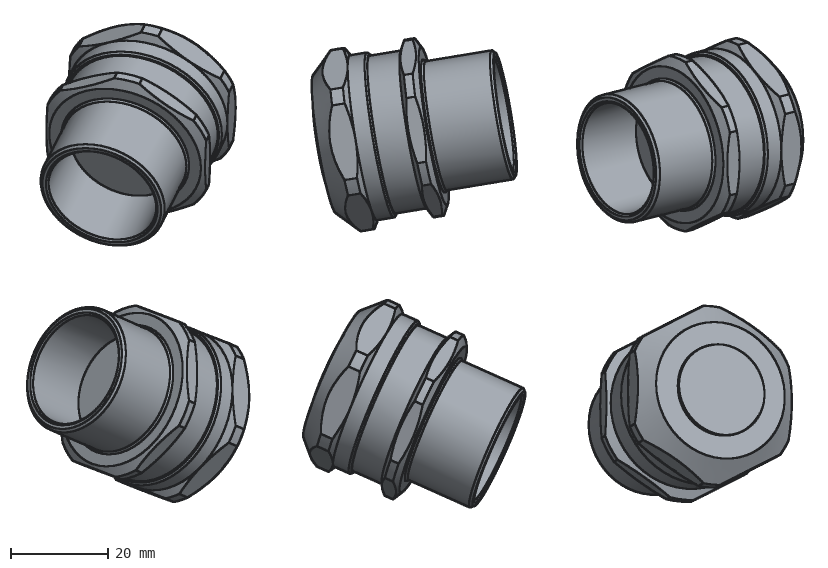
import cadquery as cq
import math


length = 38.5
spigot_end = 14.95
fixed_hex_end = 19.0
body_end = 25.68
ring_end = 29.7
cap_end = 37.8

bore_diameter = 23.4
spigot_diameter = 27.0
body_diameter = 33.0
ring_diameter = 34.5
cap_diameter = 28.88
seal_diameter = 19.17

across_flats = 34.55
fixed_hex_corner_radius = 18.55
cap_hex_corner_radius = 18.95
hex_bevel_length = 1.1
cap_bevel_length = 1.0

spigot_chamfer = 0.58
bore_chamfer = 0.42
collar_height = 0.42
collar_length = 0.5
ring_chamfer = 0.45
bore_depth = 14.63


def revolve_profile(points):
    """Revolve (radius, Y) points, closed along the axis, about Y."""
    start, end = points[0][1], points[-1][1]
    closed = [(0, start)] + points + [(0, end)]
    return cq.Workplane("XY").polyline(closed).close().revolve(360, (0, 0, 0), (0, 1, 0))


def cylinder(diameter, start, end):
    return revolve_profile([(diameter / 2, start), (diameter / 2, end)])


def hex_prism(start, end):
    """Hexagonal bar along Y with corners pointing up and down."""
    across_corners = across_flats / math.cos(math.pi / 6)
    return (
        cq.Workplane("XZ", origin=(0, end, 0))
        .transformed(rotate=(0, 0, 90))
        .polygon(6, across_corners)
        .extrude(end - start)
    )


spigot_radius = spigot_diameter / 2
spigot = revolve_profile([
    (spigot_radius - spigot_chamfer, 0),
    (spigot_radius, spigot_chamfer),
    (spigot_radius, spigot_end - collar_length),
    (spigot_radius + collar_height, spigot_end),
])

fixed_hex = hex_prism(spigot_end, fixed_hex_end).intersect(revolve_profile([
    (body_diameter / 2, spigot_end),
    (fixed_hex_corner_radius, spigot_end + hex_bevel_length),
    (fixed_hex_corner_radius, fixed_hex_end - hex_bevel_length),
    (body_diameter / 2, fixed_hex_end),
]))

body = cylinder(body_diameter, fixed_hex_end, body_end)
ring = revolve_profile([
    (ring_diameter / 2 - ring_chamfer, body_end),
    (ring_diameter / 2, body_end + ring_chamfer),
    (ring_diameter / 2, ring_end),
])

cone_start = cap_end - (cap_hex_corner_radius - cap_diameter / 2)
cap_nut = hex_prism(ring_end, cap_end).intersect(revolve_profile([
    (ring_diameter / 2, ring_end),
    (cap_hex_corner_radius, ring_end + cap_bevel_length),
    (cap_hex_corner_radius, cone_start),
    (cap_diameter / 2, cap_end),
]))

seal = cylinder(seal_diameter, cap_end, length)

bore = revolve_profile([
    (bore_diameter / 2 + bore_chamfer, 0),
    (bore_diameter / 2, bore_chamfer),
    (bore_diameter / 2, bore_depth),
])

result = spigot.union(fixed_hex).union(body).union(ring).union(cap_nut).union(seal).cut(bore)